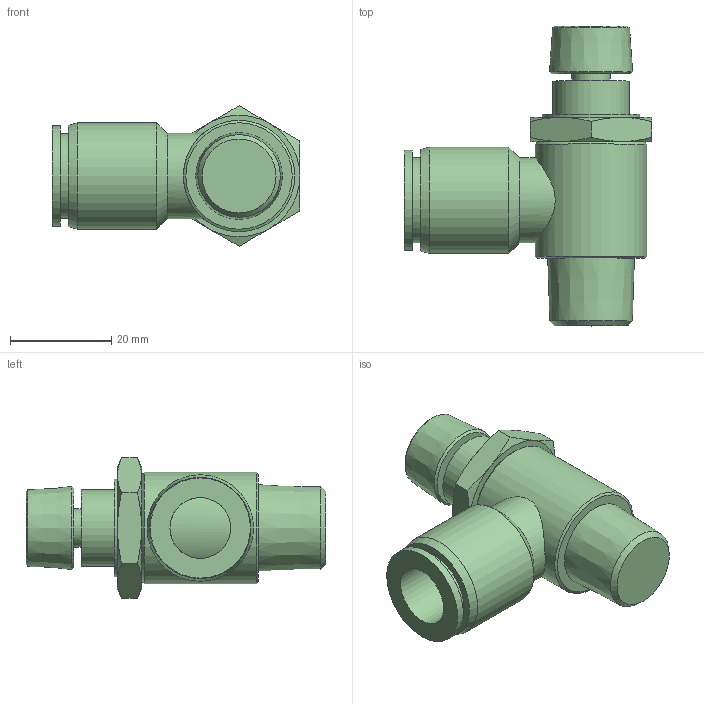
import cadquery as cq
import math


TOTAL_LENGTH = 59.2
KNOB_LENGTH = 9.45
STEM_LENGTH = 1.4
COLLAR_LENGTH = 6.6
WASHER_LENGTH = 0.6
HEX_LENGTH = 4.75
BODY_LENGTH = 23.0
BRANCH_TO_KNOB_END = 34.4

KNOB_TIP_DIAMETER = 15.17
KNOB_BASE_DIAMETER = 16.4
KNOB_TIP_CHAMFER = 0.3
KNOB_BASE_CHAMFER = 0.45
STEM_DIAMETER = 7.57
COLLAR_DIAMETER = 15.17
WASHER_DIAMETER = 19.2
BODY_DIAMETER = 22.0
BODY_CHAMFER = 0.5
BODY_THREAD_END_CHAMFER_LENGTH = 0.3
THREAD_ROOT_DIAMETER = 17.1
THREAD_TIP_DIAMETER = 16.3
THREAD_END_DIAMETER = 14.6
THREAD_CHAMFER_LENGTH = 1.0

HEX_ACROSS_FLATS = 24.0
HEX_CHAMFER_LENGTH = 0.8

BRANCH_LENGTH = 36.9
FLANGE_DIAMETER = 19.8
FLANGE_LENGTH = 1.6
GROOVE_DIAMETER = 16.8
GROOVE_LENGTH = 1.6
SLEEVE_DIAMETER = 21.0
SLEEVE_MOUTH_DIAMETER = 20.0
SLEEVE_MOUTH_TAPER_LENGTH = 1.8
SLEEVE_STRAIGHT_LENGTH = 15.65
SLEEVE_REAR_TAPER_LENGTH = 2.1
NECK_DIAMETER = 16.84
BORE_DIAMETER = 12.0

knob_end_y = BRANCH_TO_KNOB_END
stem_y = knob_end_y - KNOB_LENGTH
collar_y = stem_y - STEM_LENGTH
washer_y = collar_y - COLLAR_LENGTH
hex_y = washer_y - WASHER_LENGTH
body_y = hex_y - HEX_LENGTH
thread_y = body_y - BODY_LENGTH
thread_end_y = knob_end_y - TOTAL_LENGTH


def turned_about_y(profile):
    """Solid of revolution about Y from (diameter, y) pairs; the ends are closed onto the axis."""
    points = [(diameter / 2, y) for diameter, y in profile]
    points = [(0, profile[0][1])] + points + [(0, profile[-1][1])]
    return cq.Workplane("XY").polyline(points).close().revolve(360, (0, 0), (0, 1))


def turned_about_x(profile):
    """Solid of revolution about X from (x, diameter) pairs; the ends are closed onto the axis."""
    points = [(x, diameter / 2) for x, diameter in profile]
    points = [(profile[0][0], 0)] + points + [(profile[-1][0], 0)]
    return cq.Workplane("XY").polyline(points).close().revolve(360, (0, 0), (1, 0))


def make_main_stack():
    """Knob, stem, collar, washer, body and tapered thread, turned in one profile."""
    body_end_diameter = BODY_DIAMETER - 2 * BODY_CHAMFER
    return turned_about_y([
        (KNOB_TIP_DIAMETER - 2 * KNOB_TIP_CHAMFER, knob_end_y),
        (KNOB_TIP_DIAMETER, knob_end_y - KNOB_TIP_CHAMFER),
        (KNOB_BASE_DIAMETER, stem_y + KNOB_BASE_CHAMFER),
        (KNOB_BASE_DIAMETER - 2 * KNOB_BASE_CHAMFER, stem_y),
        (STEM_DIAMETER, stem_y),
        (STEM_DIAMETER, collar_y),
        (COLLAR_DIAMETER, collar_y),
        (COLLAR_DIAMETER, washer_y),
        (WASHER_DIAMETER, washer_y),
        (WASHER_DIAMETER, body_y),
        (body_end_diameter, body_y),
        (BODY_DIAMETER, body_y - BODY_CHAMFER),
        (BODY_DIAMETER, thread_y + BODY_THREAD_END_CHAMFER_LENGTH),
        (body_end_diameter, thread_y),
        (THREAD_ROOT_DIAMETER, thread_y),
        (THREAD_TIP_DIAMETER, thread_end_y + THREAD_CHAMFER_LENGTH),
        (THREAD_END_DIAMETER, thread_end_y),
    ])


def make_hexagon():
    """Hexagon with corners on +Z and -Z, its corners chamfered conically on both faces."""
    across_corners = HEX_ACROSS_FLATS / math.cos(math.pi / 6)
    prism = (
        cq.Workplane("XZ", origin=(0, hex_y, 0))
        .transformed(rotate=(0, 0, 90))
        .polygon(6, across_corners)
        .extrude(HEX_LENGTH)
    )
    chamfer_envelope = turned_about_y([
        (HEX_ACROSS_FLATS, hex_y),
        (across_corners, hex_y - HEX_CHAMFER_LENGTH),
        (across_corners, body_y + HEX_CHAMFER_LENGTH),
        (HEX_ACROSS_FLATS, body_y),
    ])
    return prism.intersect(chamfer_envelope)


def make_branch():
    """Tube branch: release flange, groove, tapered sleeve and the neck that runs into the body."""
    mouth_x = -BRANCH_LENGTH
    groove_x = mouth_x + FLANGE_LENGTH
    sleeve_x = groove_x + GROOVE_LENGTH
    straight_x = sleeve_x + SLEEVE_MOUTH_TAPER_LENGTH
    rear_taper_x = straight_x + SLEEVE_STRAIGHT_LENGTH
    neck_x = rear_taper_x + SLEEVE_REAR_TAPER_LENGTH
    return turned_about_x([
        (mouth_x, FLANGE_DIAMETER),
        (groove_x, FLANGE_DIAMETER),
        (groove_x, GROOVE_DIAMETER),
        (sleeve_x, GROOVE_DIAMETER),
        (sleeve_x, SLEEVE_MOUTH_DIAMETER),
        (straight_x, SLEEVE_DIAMETER),
        (rear_taper_x, SLEEVE_DIAMETER),
        (neck_x, NECK_DIAMETER),
        (0, NECK_DIAMETER),
    ])


def make_bore():
    """Tube socket running from the branch mouth to the main axis."""
    return cq.Workplane("YZ", origin=(-BRANCH_LENGTH, 0, 0)).circle(BORE_DIAMETER / 2).extrude(BRANCH_LENGTH)


result = make_branch().cut(make_bore()).union(make_main_stack()).union(make_hexagon())